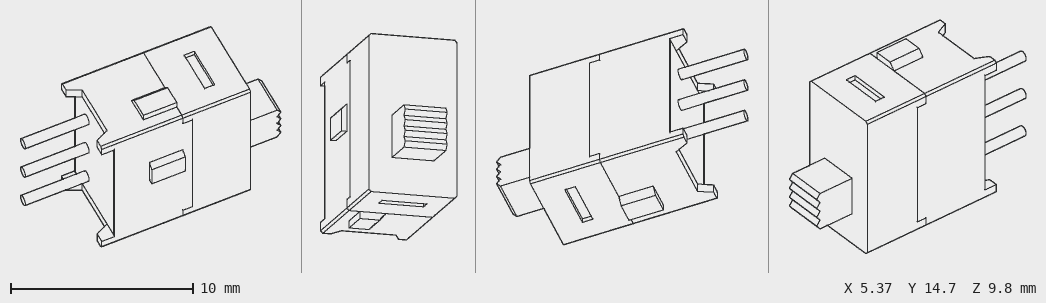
import cadquery as cq

overall_length = 14.68
overall_height = 9.8
housing_width = 5.06
housing_height = 9.0
edge_chamfer = 0.13

parting_depth = 4.14
terminal_face_depth = 8.3
foot_tip_depth = 9.09

plate_thickness = 0.62
side_wall = 0.13
tongue_length = 0.6
foot_width = 0.59
foot_root_width = 0.97

lug_length = 2.04
end_lug_height = (overall_height - housing_height) / 2
end_lug_edge = 1.78
end_lug_crest = 1.15
end_lug_slope = 0.35
side_lug_height = 0.31
side_lug_crest = 1.26
side_lug_slope = 0.3

slot_width = 2.57
slot_length = 0.62
slot_depth = 0.3
slot_start = 1.59

handle_length = 2.5
handle_width = 2.41
handle_height = 2.41
handle_top = -0.06
tooth_count = 4
tooth_depth = 0.23

pin_diameter = 0.62
pin_tip_depth = overall_length - handle_length
pin_pitch = 2.54
pin_x = -0.98

half_width = housing_width / 2
half_height = housing_height / 2
core_height = housing_height - 2 * plate_thickness
plug_width = housing_width - 2 * side_wall
tongue_depth = parting_depth - tongue_length


def block(width, height, start_depth, end_depth):
    """Box centred on the Y axis, between two depths behind the handle end."""
    length = end_depth - start_depth
    return cq.Workplane("XY").box(width, length, height).translate((0, -start_depth - length / 2, 0))


def chamfered_block(start_depth, end_depth):
    """Full housing section with its four long edges chamfered."""
    return block(housing_width, housing_height, start_depth, end_depth).edges("|Y").chamfer(edge_chamfer)


def tongue():
    """Middle of the base that reaches past the parting plane into the cover."""
    return block(housing_width, core_height, tongue_depth, parting_depth)


def make_cover():
    cover = chamfered_block(0, parting_depth).cut(tongue())
    slot = block(slot_width, slot_depth, slot_start, slot_start + slot_length)
    slot_z = half_height - slot_depth / 2
    for side in (1, -1):
        cover = cover.cut(slot.translate((0, 0, side * slot_z)))
    return cover


def foot_notch():
    """Trapezoidal notch that leaves a tapered foot at each corner."""
    tip_x = half_width - foot_width
    root_x = half_width - foot_root_width
    return (
        cq.Workplane("XY")
        .workplane(offset=-half_height)
        .polyline([
            (-tip_x, -foot_tip_depth),
            (-root_x, -terminal_face_depth),
            (root_x, -terminal_face_depth),
            (tip_x, -foot_tip_depth),
        ])
        .close()
        .extrude(housing_height)
    )


def lug(profile):
    """Lug with the given XZ profile, running back from the parting plane."""
    return cq.Workplane("XZ").workplane(offset=parting_depth).polyline(profile).close().extrude(lug_length)


def top_lug():
    crest_x = end_lug_edge - end_lug_crest
    crest_z = half_height + end_lug_height
    return lug([
        (crest_x - end_lug_slope, half_height),
        (crest_x, crest_z),
        (end_lug_edge, crest_z),
        (end_lug_edge, half_height),
    ])


def side_lug():
    crest_x = half_width + side_lug_height
    return lug([
        (half_width, 0),
        (crest_x, 0),
        (crest_x, side_lug_crest),
        (half_width, side_lug_crest + side_lug_slope),
    ])


def make_base():
    base = chamfered_block(parting_depth, foot_tip_depth).union(tongue())
    terminal_recess = block(housing_width, core_height, terminal_face_depth, foot_tip_depth)
    plug_opening = block(plug_width, core_height, tongue_depth, terminal_face_depth)
    base = base.cut(terminal_recess).cut(foot_notch()).cut(plug_opening)
    return base.union(top_lug()).union(top_lug().mirror("XY")).union(side_lug())


def make_terminal_plug():
    """Block that fills the base and carries the row of three pins."""
    plug = block(plug_width, core_height, tongue_depth, terminal_face_depth)
    pins = (
        cq.Workplane("XZ")
        .workplane(offset=terminal_face_depth)
        .pushPoints([(pin_x, row * pin_pitch) for row in (-1, 0, 1)])
        .circle(pin_diameter / 2)
        .extrude(pin_tip_depth - terminal_face_depth)
    )
    return plug.union(pins)


def make_slider():
    """Handle with a row of pointed grip teeth across its tip."""
    pitch = handle_height / tooth_count
    root_y = handle_length - tooth_depth
    profile = [(0, handle_top), (root_y, handle_top)]
    for tooth in range(tooth_count):
        tooth_top = handle_top - tooth * pitch
        profile.append((handle_length, tooth_top - pitch / 2))
        profile.append((root_y, tooth_top - pitch))
    profile.append((0, handle_top - handle_height))
    return cq.Workplane("YZ").polyline(profile).close().extrude(handle_width / 2, both=True)


cover = make_cover()
base = make_base()
terminal_plug = make_terminal_plug()
slider = make_slider()

result = cq.Compound.makeCompound([cover.val(), base.val(), terminal_plug.val(), slider.val()])